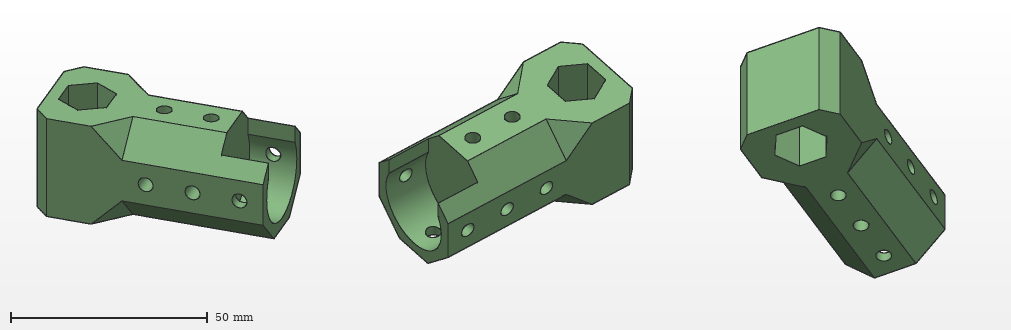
import cadquery as cq
import math

length = 62.4
width = 28.6
handle_flat = 11.85
head_chamfer = 4.0
taper_end = 24.35
hex_flats = 13.0
hex_center = 10.0
hole_diameter = 4.0
hole_spacing = 12.7
first_hole = 30.7
hole_count = 3
socket_start = 49.7
bore_diameter = 23.0
slot_width = 20.35

half = width / 2
handle_chamfer = half - handle_flat / 2
taper_start = taper_end - handle_chamfer
hex_corners = hex_flats / math.cos(math.radians(30))
corner_radius = half * math.sqrt(2)
bevel_radius = corner_radius - handle_chamfer / math.sqrt(2)


def head_block():
    """Square bar with the two vertical edges of its head end chamfered."""
    bar = cq.Workplane("XY").box(length, width, width, centered=(False, True, True))
    return bar.edges("|Z and <X").chamfer(head_chamfer)


def edge_relief(turn):
    """Cutter that bevels one long edge of the handle, sloping back out to the corner at the head."""
    profile = [
        (taper_start, corner_radius),
        (taper_end, bevel_radius),
        (length, bevel_radius),
        (length, corner_radius),
    ]
    cutter = cq.Workplane("XZ").polyline(profile).close().extrude(width, both=True)
    return cutter.rotate((0, 0, 0), (1, 0, 0), turn)


def cross_hole(x):
    """Round holes through both pairs of handle flats, meeting on the axis."""
    drill = cq.Workplane("XY").center(x, 0).circle(hole_diameter / 2).extrude(half, both=True)
    return drill.union(drill.rotate((0, 0, 0), (1, 0, 0), 90))


def socket():
    """Round bore in the open end, opened through the top by a slot narrower than the bore."""
    end = cq.Workplane("YZ").workplane(offset=socket_start)
    bore = end.circle(bore_diameter / 2).extrude(length - socket_start)
    opening = end.center(0, half / 2).rect(slot_width, half).extrude(length - socket_start)
    return bore.union(opening)


result = head_block()
for corner in range(4):
    result = result.cut(edge_relief(45 + corner * 90))

hex_hole = cq.Workplane("XY").center(hex_center, 0).transformed(rotate=(0, 0, 90))
result = result.cut(hex_hole.polygon(6, hex_corners).extrude(half, both=True))

for index in range(hole_count):
    result = result.cut(cross_hole(first_hole + index * hole_spacing))

result = result.cut(socket())